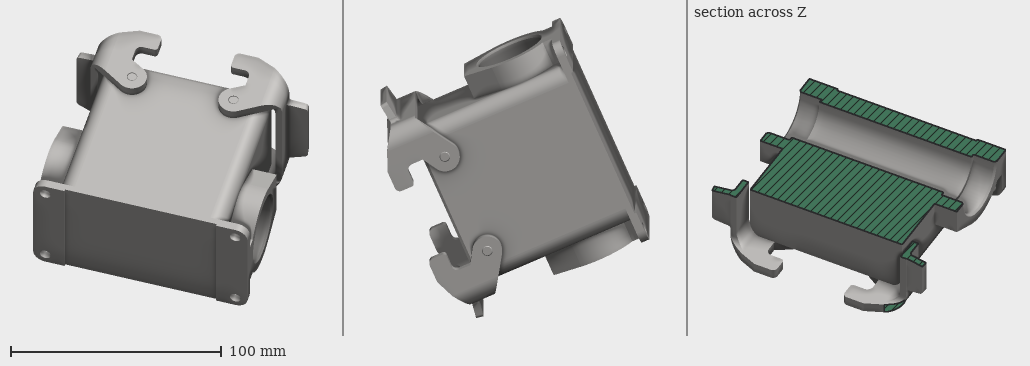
import cadquery as cq
import math

BODY_WIDTH = 82.0
BODY_DEPTH = 57.0
BODY_TOP = 82.3
BODY_CORNER_RADIUS = 7.5
RIM_BEVEL_LENGTH = 1.3
RIM_BEVEL_DEPTH = 0.6

FOOT_WIDTH = 106.0
FOOT_THICKNESS = 4.0
FOOT_CORNER_RADIUS = 6.0
RELIEF_WIDTH = 75.0
RELIEF_DEPTH = 1.0
FOOT_HOLE_DIAMETER = 5.5
FOOT_HOLE_X = 47.0
FOOT_HOLE_Z = 23.0

ENTRY_Y = 26.4
ENTRY_RADIUS = 21.5
ENTRY_TOP_Y = 49.7
ENTRY_TOP_HALF_WIDTH = 13.0
ENTRY_NECK_WIDTH = 25.0
BORE_DIAMETER = 28.0
COUNTERBORE_DIAMETER = 32.0
COUNTERBORE_DEPTH = (FOOT_WIDTH - BODY_WIDTH) / 2
ENTRY_CHAMFER = 1.0

PART_LENGTH = 99.8
LEVER_DEPTH = 67.0
LEVER_OUTER_X = 47.4
LEVER_CORNER_RADIUS = 9.0
STRAP_THICKNESS = 3.3
STRAP_INNER_RADIUS = LEVER_CORNER_RADIUS - STRAP_THICKNESS
STRAP_BOTTOM_Y = 77.7
STRAP_TOP_Y = 90.2
STRAP_TOP_FILLET = 4.0
STRAP_BOTTOM_FILLET = 1.0
PIVOT_X = 25.1
PIVOT_Y = 71.9
PIVOT_END_RADIUS = 7.1
SHOULDER_X = LEVER_OUTER_X - LEVER_CORNER_RADIUS
SHOULDER_Y = 96.0
HOOK_CREST_X = 29.4
HOOK_TIP_X = 18.1
HOOK_BOTTOM_Y = 90.6
HOOK_TIP_ROUND = 2.5
HOOK_TIP_LOWER_ROUND = 1.5
THROAT_X = 28.1
THROAT_RADIUS = 3.0
THROAT_BOTTOM_Y = 82.0
PIN_DIAMETER = 5.0
PIN_EDGE_CHAMFER = 0.4

TAB_TIP_X = 57.245
TAB_TILT = math.radians(9.5)
TAB_THICKNESS = 3.5
TAB_TIP_LOWER_Y = 88.0
TAB_ROOT_RADIUS = 2.0
TAB_ROOT_HALF_WIDTH = 19.7
TAB_TAPER = math.radians(15.0)
TAB_TIP_ROUND = 2.0

OVERCUT = 1.0


def tangent_point(center, radius, point, side):
    """Touch point of a line from `point` to a circle; side +1 or -1 picks the tangent."""
    dx = point[0] - center[0]
    dy = point[1] - center[1]
    angle = math.atan2(dy, dx) + side * math.acos(radius / math.hypot(dx, dy))
    return (center[0] + radius * math.cos(angle), center[1] + radius * math.sin(angle))


def box(x_range, y_range, z_range):
    """Axis-aligned box from its limits."""
    return cq.Workplane("XY").box(
        x_range[1] - x_range[0], y_range[1] - y_range[0], z_range[1] - z_range[0], centered=False
    ).translate((x_range[0], y_range[0], z_range[0]))


def prism_along_y(width, depth, length, corner_radius):
    """Centred block rising from Y = 0 with rounded edges along Y."""
    block = box((-width / 2, width / 2), (0, length), (-depth / 2, depth / 2))
    return block.edges("|Y").fillet(corner_radius)


def make_body():
    body = prism_along_y(BODY_WIDTH, BODY_DEPTH, BODY_TOP, BODY_CORNER_RADIUS)
    for side in (1, -1):
        bevel = (
            cq.Workplane("YZ")
            .polyline([
                (BODY_TOP - RIM_BEVEL_LENGTH, side * BODY_DEPTH / 2),
                (BODY_TOP, side * (BODY_DEPTH / 2 - RIM_BEVEL_DEPTH)),
                (BODY_TOP, side * BODY_DEPTH / 2),
            ])
            .close()
            .extrude(BODY_WIDTH / 2, both=True)
        )
        body = body.cut(bevel)
    return body


def make_foot():
    return prism_along_y(FOOT_WIDTH, BODY_DEPTH, FOOT_THICKNESS, FOOT_CORNER_RADIUS)


def cut_foot_details(part):
    relief = box(
        (-RELIEF_WIDTH / 2, RELIEF_WIDTH / 2), (0, RELIEF_DEPTH), (-BODY_DEPTH / 2, BODY_DEPTH / 2)
    )
    part = part.cut(relief)
    for x in (-FOOT_HOLE_X, FOOT_HOLE_X):
        for z in (-FOOT_HOLE_Z, FOOT_HOLE_Z):
            hole = cq.Solid.makeCylinder(
                FOOT_HOLE_DIAMETER / 2, FOOT_THICKNESS, cq.Vector(x, 0, z), cq.Vector(0, 1, 0)
            )
            part = part.cut(cq.Workplane(hole))
    return part


def make_entries():
    """Boss outline swept straight through the body so that it stands out on both sides."""
    corner = (ENTRY_TOP_Y, ENTRY_TOP_HALF_WIDTH)
    touch_y, touch_z = tangent_point((ENTRY_Y, 0), ENTRY_RADIUS, corner, 1)
    half_neck = ENTRY_NECK_WIDTH / 2
    neck_y = ENTRY_Y - math.sqrt(ENTRY_RADIUS**2 - half_neck**2)
    return (
        cq.Workplane("YZ")
        .moveTo(0, -half_neck)
        .lineTo(neck_y, -half_neck)
        .threePointArc((ENTRY_Y, -ENTRY_RADIUS), (touch_y, -touch_z))
        .lineTo(ENTRY_TOP_Y, -ENTRY_TOP_HALF_WIDTH)
        .lineTo(*corner)
        .lineTo(touch_y, touch_z)
        .threePointArc((ENTRY_Y, ENTRY_RADIUS), (neck_y, half_neck))
        .lineTo(0, half_neck)
        .close()
        .extrude(FOOT_WIDTH / 2, both=True)
    )


def make_entry_bore():
    """Stepped, chamfered bore along X, drawn as half a section and revolved."""
    end_x = FOOT_WIDTH / 2
    bore_radius = BORE_DIAMETER / 2
    wide_radius = COUNTERBORE_DIAMETER / 2
    mouth_radius = wide_radius + ENTRY_CHAMFER
    step_x = end_x - COUNTERBORE_DEPTH
    return (
        cq.Workplane("XY")
        .polyline([
            (-end_x, 0),
            (-end_x, mouth_radius),
            (-end_x + ENTRY_CHAMFER, wide_radius),
            (-step_x, wide_radius),
            (-step_x, bore_radius),
            (step_x, bore_radius),
            (step_x, wide_radius),
            (end_x - ENTRY_CHAMFER, wide_radius),
            (end_x, mouth_radius),
            (end_x, 0),
        ])
        .close()
        .revolve(360, (0, 0, 0), (1, 0, 0))
        .translate((0, ENTRY_Y, 0))
    )


def make_lever_blank():
    """Hook-shaped lever outline through the full lever depth, outer corners rounded."""
    pivot = (PIVOT_X, PIVOT_Y)
    strap_corner = (LEVER_OUTER_X, STRAP_BOTTOM_Y)
    throat_corner = (THROAT_X, THROAT_BOTTOM_Y)
    lower_touch = tangent_point(pivot, PIVOT_END_RADIUS, strap_corner, -1)
    upper_touch = tangent_point(pivot, PIVOT_END_RADIUS, throat_corner, 1)
    blank = (
        cq.Workplane("XY")
        .moveTo(*lower_touch)
        .lineTo(*strap_corner)
        .lineTo(LEVER_OUTER_X, STRAP_TOP_Y)
        .lineTo(SHOULDER_X, SHOULDER_Y)
        .lineTo(HOOK_CREST_X, PART_LENGTH)
        .lineTo(HOOK_TIP_X, PART_LENGTH)
        .lineTo(HOOK_TIP_X, HOOK_BOTTOM_Y)
        .lineTo(THROAT_X, HOOK_BOTTOM_Y)
        .lineTo(*throat_corner)
        .lineTo(*upper_touch)
        .threePointArc((PIVOT_X - PIVOT_END_RADIUS, PIVOT_Y), lower_touch)
        .close()
        .extrude(LEVER_DEPTH / 2, both=True)
    )
    for x, y, radius in (
        (HOOK_TIP_X, PART_LENGTH, HOOK_TIP_ROUND),
        (HOOK_TIP_X, HOOK_BOTTOM_Y, HOOK_TIP_LOWER_ROUND),
        (THROAT_X, HOOK_BOTTOM_Y, THROAT_RADIUS),
    ):
        blank = blank.edges(cq.selectors.NearestToPointSelector((x, y, 0))).fillet(radius)
    return blank.faces(">X").edges("|Y").fillet(LEVER_CORNER_RADIUS)


def make_lever_clearance():
    """Space between the two arms: inside the strap and beyond both of its edges."""
    half_gap = BODY_DEPTH / 2
    inside = box(
        (0, LEVER_OUTER_X - STRAP_THICKNESS), (0, PART_LENGTH + OVERCUT), (-half_gap, half_gap)
    )
    inside = inside.faces(">X").edges("|Y").fillet(STRAP_INNER_RADIUS)
    beyond = box(
        (0, LEVER_OUTER_X + OVERCUT), (STRAP_TOP_Y, PART_LENGTH + OVERCUT), (-half_gap, half_gap)
    )
    beyond = beyond.faces("<Y").edges("|X").fillet(STRAP_TOP_FILLET)
    below = box(
        (0, LEVER_OUTER_X + OVERCUT), (0, STRAP_BOTTOM_Y), (-half_gap, half_gap)
    )
    below = below.faces(">Y").edges("|X").fillet(STRAP_BOTTOM_FILLET)
    return inside.union(beyond).union(below)


def make_tab():
    """Tilted finger tab: side profile crossed with a tapering plan, flared at the root."""
    rise = math.tan(TAB_TILT)
    tip_upper_x = TAB_TIP_X - TAB_THICKNESS * math.sin(TAB_TILT)
    tip_upper_y = TAB_TIP_LOWER_Y + TAB_THICKNESS * math.cos(TAB_TILT)
    root_x = LEVER_OUTER_X - STRAP_THICKNESS / 2
    flare_x = LEVER_OUTER_X + TAB_ROOT_RADIUS
    upper_root_y = tip_upper_y - (tip_upper_x - root_x) * rise
    lower_root_y = TAB_TIP_LOWER_Y - (TAB_TIP_X - LEVER_OUTER_X) * rise
    flare_start_y = TAB_TIP_LOWER_Y - (TAB_TIP_X - flare_x) * rise
    foot_y = lower_root_y - TAB_ROOT_RADIUS
    half_root = TAB_ROOT_HALF_WIDTH
    half_flared = half_root + TAB_ROOT_RADIUS
    half_tip = half_root - (TAB_TIP_X - flare_x) * math.tan(TAB_TAPER)
    beyond_tip_x = TAB_TIP_X + OVERCUT
    half_beyond = half_tip - OVERCUT * math.tan(TAB_TAPER)

    profile = (
        cq.Workplane("XY")
        .moveTo(flare_x, flare_start_y)
        .lineTo(TAB_TIP_X, TAB_TIP_LOWER_Y)
        .lineTo(tip_upper_x, tip_upper_y)
        .lineTo(root_x, upper_root_y)
        .lineTo(root_x, foot_y)
        .lineTo(LEVER_OUTER_X, foot_y)
        .radiusArc((flare_x, flare_start_y), TAB_ROOT_RADIUS)
        .close()
        .extrude(half_flared, both=True)
    )
    plan = (
        cq.Workplane("XZ")
        .moveTo(root_x, -half_flared)
        .lineTo(LEVER_OUTER_X, -half_flared)
        .radiusArc((flare_x, -half_root), TAB_ROOT_RADIUS)
        .lineTo(beyond_tip_x, -half_beyond)
        .lineTo(beyond_tip_x, half_beyond)
        .lineTo(flare_x, half_root)
        .radiusArc((LEVER_OUTER_X, half_flared), TAB_ROOT_RADIUS)
        .lineTo(root_x, half_flared)
        .close()
        .extrude(-PART_LENGTH)
    )
    tab = profile.intersect(plan)
    tip_middle_x = (TAB_TIP_X + tip_upper_x) / 2
    tip_middle_y = (TAB_TIP_LOWER_Y + tip_upper_y) / 2
    for z in (-half_tip, half_tip):
        tip_corner = cq.selectors.NearestToPointSelector((tip_middle_x, tip_middle_y, z))
        tab = tab.edges(tip_corner).fillet(TAB_TIP_ROUND)
    return tab


def make_pin_groove():
    """Ring groove left around the chamfered end of a pivot pin in its hole, at +Z."""
    top_z = LEVER_DEPTH / 2
    pin_radius = PIN_DIAMETER / 2
    return (
        cq.Workplane("XZ")
        .polyline([
            (pin_radius - PIN_EDGE_CHAMFER, top_z),
            (pin_radius, top_z),
            (pin_radius, top_z - PIN_EDGE_CHAMFER),
        ])
        .close()
        .revolve(360, (0, 0, 0), (0, 1, 0))
        .translate((PIVOT_X, PIVOT_Y, 0))
    )


def make_lever():
    """Lever on the +X side."""
    lever = make_lever_blank().cut(make_lever_clearance()).union(make_tab())
    groove = make_pin_groove()
    return lever.cut(groove).cut(groove.mirror("XY"))


lever = make_lever()
housing = make_body().union(make_foot()).union(make_entries())
housing = cut_foot_details(housing).cut(make_entry_bore())
result = housing.union(lever).union(lever.mirror("YZ"))